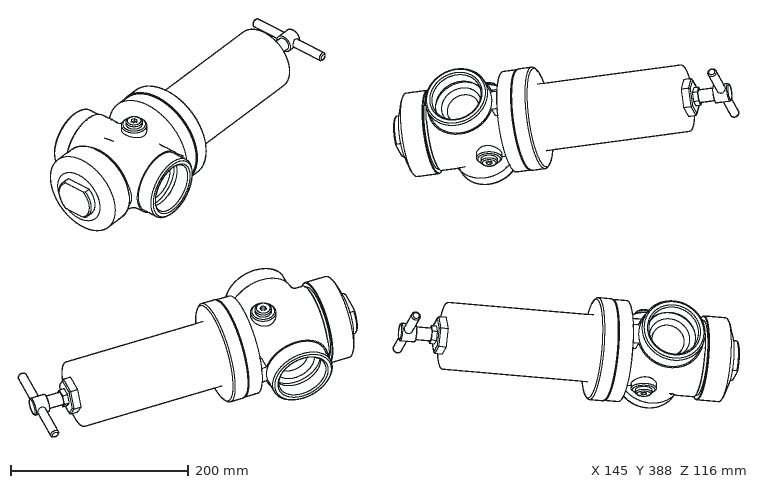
import cadquery as cq


total_length = 388
front_end = -87.0
cap_face = -78.8
cap_cone_start = -73.5
cap_corner_start = -71.8
cap_seat = -45.8
cap_neck_end = -42.3
cap_shoulder = -19.8
boss_station = 19.0
flange_rim = 43.5
flange_joint = 60.5
bonnet_flange_top = 78.8
bonnet_top = 250.0
gland_nut_top = 260.0
lock_nut_top = 265.8
head_bottom = 283.5
handle_axis = 293.5
rear_end = front_end + total_length

port_span = 145.0
port_radius = 36.5
port_chamfer = 2.0
tube_radius = 38.0
tube_half_length = 52.5
socket_radius = 28.7
relief_radius = 30.5
mouth_chamfer = relief_radius - socket_radius
thread_depth = 17.5
socket_depth = 23.3
seat_radius = 23.3
seat_depth = 7.8
bore_radius = 18.5

body_flange_radius = 57.5
rim_chamfer = 0.8
flange_cone_drop = 2.7
flange_neck_radius = tube_radius
neck_fillet = 3.0
crotch_fillet = 2.0
web_width = 22.5
web_overlap = 4.0

cap_neck_radius = 44.5
cap_spigot_radius = 42.5
shoulder_round = 8.5
junction_fillet = 11.5

boss_radius = 14.5
boss_height = 45.0
boss_chamfer = 1.5
plug_radius = 9.5
plug_depth = 7.8
plug_height = 50.0
plug_chamfer = 1.5
key_width = 7.0
key_depth = 3.0

bonnet_radius = 38.0
bonnet_round = 2.0
bonnet_root_fillet = 2.7
bonnet_flange_radius = 116.0 / 2
bonnet_flange_chamfer = 2.0

cap_radius = 47.7
cap_cone_radius = 45.5
cap_face_radius = 31.0
cap_boss_radius = 23.5
cap_boss_flats = 36.5
cap_boss_chamfer = 1.5

stem_radius = 7.5
head_radius = 10.0
head_chamfer = 1.0
lock_nut_corners = 20.5
gland_nut_corners = 42.3
gland_nut_chamfer = 1.5
handle_length = 100.0
handle_radius = 5.0
handle_chamfer = 1.5


def disc_y(radius, start, end):
    """Cylinder on the Y axis between two stations."""
    return cq.Workplane("XZ", origin=(0, end, 0)).circle(radius).extrude(end - start)


def rod_x(radius, length, station=0):
    """Cylinder along X, centred on the main axis at a station on Y."""
    rod = cq.Workplane("YZ").circle(radius).extrude(length / 2, both=True)
    return rod.translate((0, station, 0))


def turned(points):
    """Solid of revolution about Y from (radius, station) points."""
    return cq.Workplane("XY").polyline(points).close().revolve(360, (0, 0), (0, 1))


def with_mirror(shape, plane):
    """The shape joined with its mirror image."""
    return shape.union(shape.mirror(plane))



def cap_neck(end):
    """Cylinder with a rounded 45 degree shoulder, buried in the cross tube."""
    neck = turned([
        (0, cap_shoulder + cap_neck_radius),
        (cap_neck_radius, cap_shoulder),
        (cap_neck_radius, end),
        (0, end),
    ])
    shoulder = neck.edges(cq.selectors.NearestToPointSelector((0, cap_shoulder, 0)))
    return shoulder.fillet(shoulder_round)


def crossing():
    """Cross tube filleted into the cap neck, then trimmed square at its ends."""
    overrun = 2 * junction_fillet
    tube = rod_x(tube_radius, 2 * (tube_half_length + overrun))
    joined = tube.union(cap_neck(cap_neck_end - overrun))
    blended = joined.edges("%BSPLINE").fillet(junction_fillet)
    trim_size = 4 * tube_radius
    trim = cq.Workplane("XY").box(2 * tube_half_length, trim_size, trim_size)
    return blended.intersect(trim.translate((0, cap_neck_end + trim_size / 2, 0)))


def flange_and_neck():
    """Bonnet-side flange with a conical back face and a filleted neck."""
    cone_end = flange_rim - flange_cone_drop
    return (
        cq.Workplane("XY")
        .lineTo(flange_neck_radius, 0)
        .lineTo(flange_neck_radius, cone_end - neck_fillet)
        .radiusArc((flange_neck_radius + neck_fillet, cone_end), neck_fillet)
        .lineTo(body_flange_radius, flange_rim)
        .lineTo(body_flange_radius, flange_joint - rim_chamfer)
        .lineTo(body_flange_radius - rim_chamfer, flange_joint)
        .lineTo(0, flange_joint)
        .close()
        .revolve(360, (0, 0), (0, 1))
    )


def flange_web():
    """Web that ties the cross tube to the flange along its whole length."""
    bottom = tube_radius - web_overlap
    web = cq.Workplane("XY").box(2 * tube_half_length, flange_rim - bottom, web_width)
    return web.translate((0, (flange_rim + bottom) / 2, 0))


def plug_boss():
    """Boss on the +Z side."""
    boss = cq.Workplane("XY", origin=(0, boss_station, 0)).circle(boss_radius).extrude(boss_height)
    return boss.faces(">Z").chamfer(boss_chamfer)


def port_bore():
    """Threaded socket with relief groove, conical seat and bore of the -X port."""
    mouth = -port_span / 2
    thread_end = mouth + thread_depth
    socket_end = mouth + socket_depth
    return (
        cq.Workplane("XY")
        .polyline([
            (mouth, 0),
            (mouth, socket_radius + mouth_chamfer),
            (mouth + mouth_chamfer, socket_radius),
            (thread_end, socket_radius),
            (thread_end, relief_radius),
            (socket_end, relief_radius),
            (socket_end, seat_radius),
            (socket_end + seat_depth, bore_radius),
            (0, bore_radius),
            (0, 0),
        ])
        .close()
        .revolve(360, (0, 0), (1, 0))
    )


def fillet_crotch(body):
    """Rounds the four long curves where the flange neck meets the cross tube."""
    inner = tube_radius / 2
    right = cq.selectors.BoxSelector((inner, inner, -tube_radius), (tube_radius, tube_radius, tube_radius))
    left = cq.selectors.BoxSelector((-tube_radius, inner, -tube_radius), (-inner, tube_radius, tube_radius))
    curves = cq.selectors.TypeSelector("ELLIPSE")
    return body.edges((right + left) & curves).fillet(crotch_fillet)


def make_body():
    body = crossing().union(flange_and_neck()).union(flange_web())
    body = body.union(with_mirror(plug_boss(), "XY"))
    body = fillet_crotch(body)
    ports = rod_x(port_radius, port_span).faces("<X or >X").chamfer(port_chamfer)
    body = body.union(ports).union(disc_y(cap_spigot_radius, cap_seat, cap_neck_end))
    plug_holes = with_mirror(plug_blank(), "XY")
    return body.cut(with_mirror(port_bore(), "YZ")).cut(plug_holes)



def plug_blank():
    """Plain plug cylinder on the +Z side, also the shape of its hole."""
    bottom = boss_height - plug_depth
    blank = cq.Workplane("XY", origin=(0, boss_station, bottom))
    return blank.circle(plug_radius).extrude(plug_height - bottom)


def make_plug(mirrored):
    plug = plug_blank().faces(">Z").chamfer(plug_chamfer)
    plug = plug.faces(">Z").workplane().polygon(6, key_width).cutBlind(-key_depth)
    return plug.mirror("XY") if mirrored else plug



def make_bonnet():
    """Spring housing with a flange, turned as one profile."""
    root_radius = bonnet_radius + bonnet_root_fillet
    return (
        cq.Workplane("XY")
        .moveTo(0, flange_joint)
        .lineTo(bonnet_flange_radius - rim_chamfer, flange_joint)
        .lineTo(bonnet_flange_radius, flange_joint + rim_chamfer)
        .lineTo(bonnet_flange_radius, bonnet_flange_top - bonnet_flange_chamfer)
        .lineTo(bonnet_flange_radius - bonnet_flange_chamfer, bonnet_flange_top)
        .lineTo(root_radius, bonnet_flange_top)
        .radiusArc((bonnet_radius, bonnet_flange_top + bonnet_root_fillet), bonnet_root_fillet)
        .lineTo(bonnet_radius, bonnet_top - bonnet_round)
        .radiusArc((bonnet_radius - bonnet_round, bonnet_top), -bonnet_round)
        .lineTo(0, bonnet_top)
        .close()
        .revolve(360, (0, 0), (0, 1))
    )


def make_cap():
    """Conical-faced cap with a round boss that has two wrench flats."""
    cap = turned([
        (0, cap_seat),
        (cap_radius - rim_chamfer, cap_seat),
        (cap_radius, cap_seat - rim_chamfer),
        (cap_radius, cap_corner_start),
        (cap_cone_radius, cap_cone_start),
        (cap_face_radius, cap_face),
        (0, cap_face),
    ])
    boss = disc_y(cap_boss_radius, front_end, cap_face).faces("<Y").chamfer(cap_boss_chamfer)
    flats = cq.Workplane("XY").box(total_length, total_length, cap_boss_flats)
    return cap.union(boss.intersect(flats))



def hexagon_nut(corners, start, end):
    """Hexagon nut on the stem with two corners on the X axis."""
    nut = cq.Workplane("XZ", origin=(0, end, 0)).polygon(6, corners).extrude(end - start)
    return nut.cut(disc_y(stem_radius, start, end))


def make_gland_nut():
    nut = hexagon_nut(gland_nut_corners, bonnet_top, gland_nut_top)
    return nut.faces(">Y").edges("%LINE").chamfer(gland_nut_chamfer)


def make_lock_nut():
    return hexagon_nut(lock_nut_corners, gland_nut_top, lock_nut_top)


def make_spindle():
    """Stem and cross-drilled head, standing on the bonnet."""
    stem = disc_y(stem_radius, bonnet_top, head_bottom)
    head = disc_y(head_radius, head_bottom, rear_end).faces(">Y").chamfer(head_chamfer)
    return stem.union(head).cut(rod_x(handle_radius, handle_length, handle_axis))


def make_handle():
    handle = rod_x(handle_radius, handle_length, handle_axis)
    return handle.faces("<X or >X").chamfer(handle_chamfer)


body = make_body()
cap = make_cap()
bonnet = make_bonnet()
gland_nut = make_gland_nut()
lock_nut = make_lock_nut()
spindle = make_spindle()
handle = make_handle()
plugs = [make_plug(mirrored) for mirrored in (False, True)]

result = cq.Compound.makeCompound([
    body.val(),
    cap.val(),
    bonnet.val(),
    gland_nut.val(),
    lock_nut.val(),
    spindle.val(),
    handle.val(),
    *[plug.val() for plug in plugs],
])